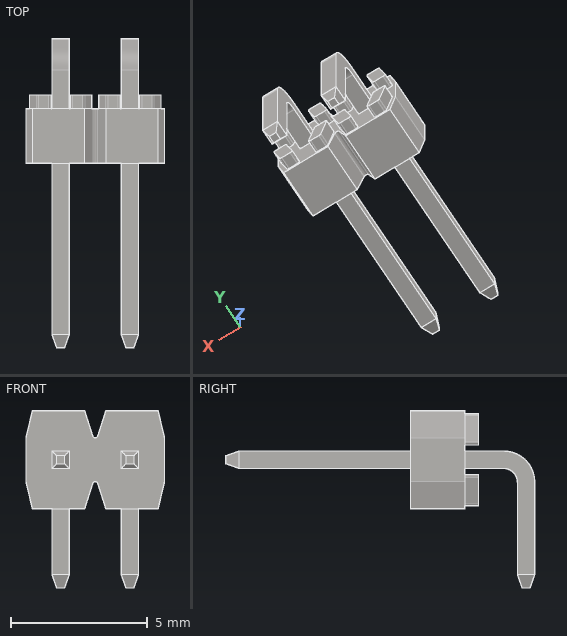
import cadquery as cq


overall_length = 11.32
overall_height = 6.5

pin_count = 2
pin_pitch = 2.54
housing_width = 5.08
housing_height = 3.6
housing_depth = 2.0
end_bevel_width = 0.24
bevel_height = 1.0
notch_half_width = 0.38
notch_apex_depth = 1.2
notch_root_radius = 0.09

pad_depth = 0.5
pad_inner_edge = 0.44
pad_outer_edge = 0.8
pad_top = 1.69
pad_bottom = 0.53
pad_lean = 0.25
pad_corner_radius = 0.09

pin_size = 0.65
tip_size = 0.29
taper_length = 0.5
front_reach = 6.76
bend_inner_radius = 0.5

half_width = housing_width / 2
half_height = housing_height / 2
half_pin = pin_size / 2
bend_axis_radius = bend_inner_radius + half_pin
tail_axis_y = overall_length - front_reach - half_pin
tail_end_z = half_height - overall_height
pin_positions = [(i - (pin_count - 1) / 2) * pin_pitch for i in range(pin_count)]
notch_positions = [(i - (pin_count - 2) / 2) * pin_pitch for i in range(pin_count - 1)]


def extrude_back(sketch, depth):
    """Extrude an XZ profile towards +Y."""
    return sketch.extrude(-depth)


def make_housing():
    """Bevel-ended block with a rounded V notch above and below between neighbouring pins."""
    side_height = half_height - bevel_height
    top_half_width = half_width - end_bevel_width
    outline = [
        (-half_width, -side_height),
        (-half_width, side_height),
        (-top_half_width, half_height),
        (top_half_width, half_height),
        (half_width, side_height),
        (half_width, -side_height),
        (top_half_width, -half_height),
        (-top_half_width, -half_height),
    ]
    housing = extrude_back(cq.Workplane("XZ").polyline(outline).close(), housing_depth)
    for x in notch_positions:
        for side in (1, -1):
            housing = housing.cut(make_notch(x, side))
    return housing


def make_notch(x, side):
    """V-shaped cutter with a rounded root, entering from above (side 1) or below (side -1)."""
    mouth_z = side * half_height
    apex_z = mouth_z - side * notch_apex_depth
    points = [(x - notch_half_width, mouth_z), (x, apex_z), (x + notch_half_width, mouth_z)]
    wedge = extrude_back(cq.Workplane("XZ").polyline(points).close(), housing_depth)
    root_edge = "<Z" if side > 0 else ">Z"
    return wedge.edges(root_edge).fillet(notch_root_radius)


def make_pad():
    """Upper right standoff of a pin at X = 0: a leaning parallelogram with rounded corners."""
    core_top = pad_top - pad_corner_radius
    core_bottom = pad_bottom + pad_corner_radius
    core = [
        (pad_inner_edge, core_top),
        (pad_outer_edge, core_top),
        (pad_outer_edge + pad_lean, core_bottom),
        (pad_inner_edge + pad_lean, core_bottom),
    ]
    profile = cq.Workplane("XZ", origin=(0, housing_depth, 0)).polyline(core).close()
    return extrude_back(profile.offset2D(pad_corner_radius), pad_depth)


def make_pin():
    """Square pin at X = 0 with a right-angle bend and a tapered tip at each end."""
    front_y = taper_length - front_reach
    tail_z = tail_end_z + taper_length
    path = (
        cq.Workplane("YZ")
        .moveTo(front_y, 0)
        .lineTo(tail_axis_y - bend_axis_radius, 0)
        .tangentArcPoint((tail_axis_y, -bend_axis_radius), relative=False)
        .lineTo(tail_axis_y, tail_z)
    )
    shank = cq.Workplane("XZ", origin=(0, front_y, 0)).rect(pin_size, pin_size).sweep(path)
    front_tip = make_tip(cq.Workplane("XZ", origin=(0, front_y, 0)), 1)
    tail_tip = make_tip(cq.Workplane("XY", origin=(0, tail_axis_y, tail_z)), -1)
    return shank.union(front_tip).union(tail_tip)


def make_tip(base, direction):
    """Square taper from the pin size to the tip size along the base normal."""
    end_offset = direction * taper_length
    return base.rect(pin_size, pin_size).workplane(offset=end_offset).rect(tip_size, tip_size).loft()


def make_contact():
    """One pin with its four standoff pads, mirrored about the pin axis."""
    right_pads = make_pad().union(make_pad().mirror("XY"))
    return make_pin().union(right_pads).union(right_pads.mirror("YZ"))


result = make_housing()
contact = make_contact()
for pin_x in pin_positions:
    result = result.union(contact.translate((pin_x, 0, 0)))